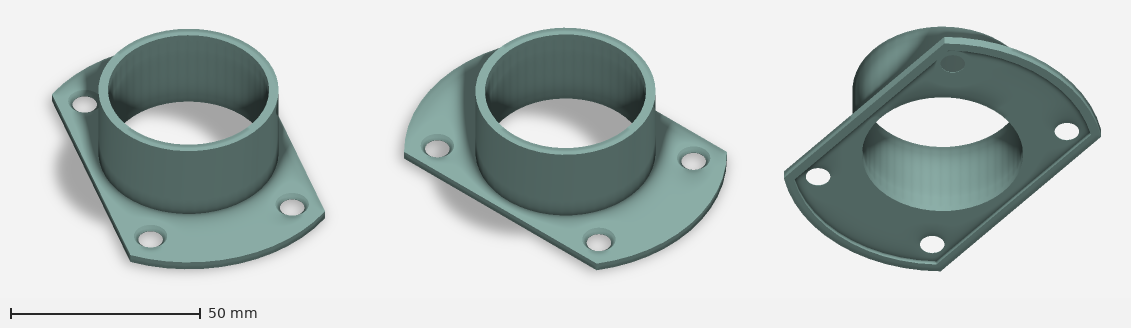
import cadquery as cq

flange_diameter = 85.0
flange_width = 54.0
flange_thickness = 2.5

total_height = 25.0
socket_outer_diameter = 47.4
socket_bore_diameter = 42.4
socket_wall = (socket_outer_diameter - socket_bore_diameter) / 2

recess_depth = 1.2
recess_rim = socket_wall

hole_diameter = 6.5
countersink_diameter = 8.75
countersink_angle = 90.0
hole_spacing_x = 55.1
hole_spacing_y = 39.3


def flatted_disc(diameter, width, height):
    disc = cq.Workplane("XY").circle(diameter / 2).extrude(height)
    flats = cq.Workplane("XY").rect(diameter, width).extrude(height)
    return disc.intersect(flats)


def make_flange():
    plate = flatted_disc(flange_diameter, flange_width, flange_thickness)
    recess = flatted_disc(flange_diameter - 2 * recess_rim, flange_width - 2 * recess_rim, recess_depth)
    return plate.cut(recess)


def add_socket(body):
    socket = (
        cq.Workplane("XY", origin=(0, 0, recess_depth))
        .circle(socket_outer_diameter / 2)
        .extrude(total_height - recess_depth)
    )
    bore = cq.Workplane("XY").circle(socket_bore_diameter / 2).extrude(total_height)
    return body.union(socket).cut(bore)


def cut_screw_holes(flange):
    return (
        flange.faces(">Z")
        .workplane(origin=(0, 0, flange_thickness))
        .rect(hole_spacing_x, hole_spacing_y, forConstruction=True)
        .vertices()
        .cskHole(hole_diameter, countersink_diameter, countersink_angle)
    )


flange = cut_screw_holes(make_flange())
result = add_socket(flange)